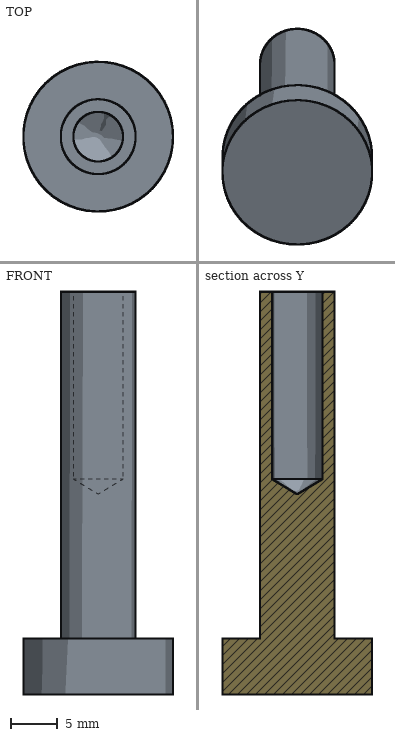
import cadquery as cq
import math

HEAD_DIAMETER = 16.0
HEAD_HEIGHT = 6.0
TOTAL_HEIGHT = 43.0
SHANK_DIAMETER = 8.0

HOLE_DIAMETER = 5.3
HOLE_DEPTH = 20.0
DRILL_POINT_ANGLE = 118.0


def make_body():
    """Disc head with a concentric cylindrical shank standing on it."""
    head = cq.Workplane("XY").circle(HEAD_DIAMETER / 2).extrude(HEAD_HEIGHT)
    return (
        head.faces(">Z")
        .workplane()
        .circle(SHANK_DIAMETER / 2)
        .extrude(TOTAL_HEIGHT - HEAD_HEIGHT)
    )


def make_drilled_hole():
    """Drill-shaped cutter: half profile in the XZ plane, revolved about Z."""
    radius = HOLE_DIAMETER / 2
    shoulder_z = TOTAL_HEIGHT - HOLE_DEPTH
    tip_z = shoulder_z - radius / math.tan(math.radians(DRILL_POINT_ANGLE / 2))
    return (
        cq.Workplane("XZ")
        .moveTo(0, tip_z)
        .lineTo(radius, shoulder_z)
        .lineTo(radius, TOTAL_HEIGHT)
        .lineTo(0, TOTAL_HEIGHT)
        .close()
        .revolve(360, (0, 0, 0), (0, 1, 0))
    )


result = make_body().cut(make_drilled_hole())